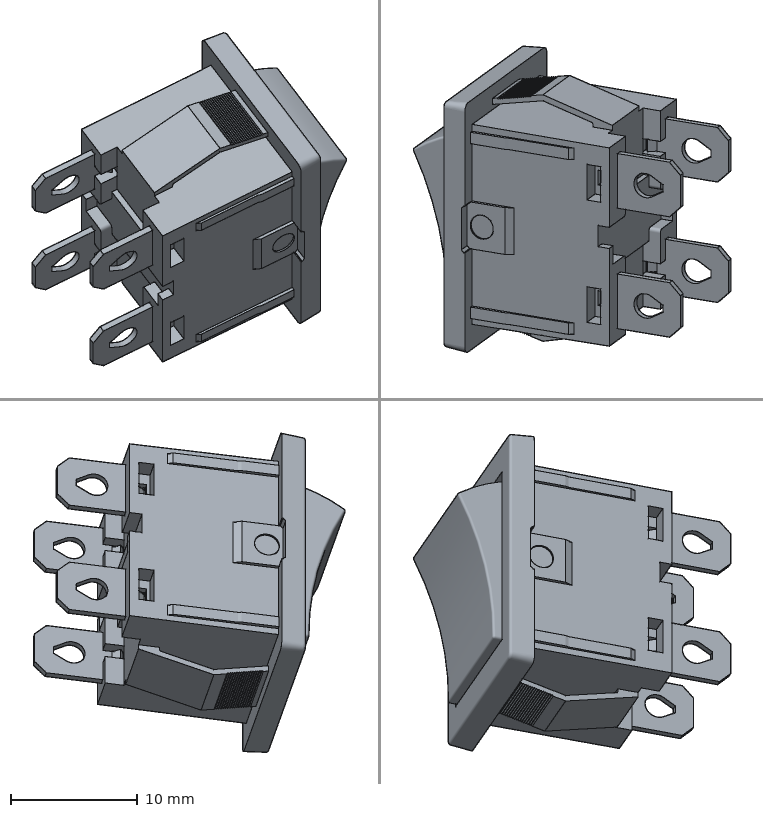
import cadquery as cq
import math


BEZEL_X = 15.0
BEZEL_Z = 21.0
BEZEL_DEPTH = 2.0
BEZEL_DRAFT = 5.0
BEZEL_CORNER_R = 0.6
BEZEL_EDGE_R = 0.24

BODY_X = 12.3
BODY_DEPTH = 12.0
BODY_Z_AT_BEZEL = 16.84
BODY_Z_AT_END = 16.7
POCKET_CLEARANCE = 0.1

RECESS_X = 6.36
RECESS_FLOOR = -10.5
RIDGE_Z = 5.54
RIDGE_TOP = -11.0
CHANNEL_HALF_Z = 1.66
PILLAR_TOP_Z = -0.12
PILLAR_GAP_X = 10.86
WING_CORNER_R = 0.3

RIB_X_FRONT = 6.42
RIB_X_REAR = 6.34
RIB_Z = 7.36
RIB_HEIGHT = 0.96
RIB_STEP_START = -3.0
RIB_STEP_END = -3.28
RIB_RAMP_START = -8.52
RIB_END = -8.93

PAD_X = RIB_X_FRONT
PAD_HEIGHT = 3.94
PAD_RAMP_START = -3.0
PAD_END = -3.64
NOTCH_DEPTH = 0.32
NOTCH_CHAMFER = 0.22

CLIP_X = 4.9
CLIP_OUTER_Z_AT_BEZEL = 9.37
CLIP_PEAK_Y = -4.42
CLIP_PEAK_Z = 10.38
CLIP_THICKNESS = 0.51
CLIP_END_Z = 8.77
CLIP_ROOT_Y = -8.8
CLIP_ROOT_R = 0.18
TOOTH_START = -0.43
TOOTH_COUNT = 16
TOOTH_PITCH = 0.184
TOOTH_DEPTH = 0.1

TERMINAL_PITCH_X = 8.76
TERMINAL_PITCH_Z = 10.14
TERMINAL_THICKNESS = 0.52
TERMINAL_WIDTH = 4.6
TERMINAL_TIP = -17.5
TERMINAL_ROOT = -8.5
TERMINAL_CHAMFER = 0.95
EYE_Y = -14.46
EYE_R = 1.02
EYE_POINT_Y = -15.97
EYE_FLANK_ANGLE = math.radians(30)

TAB_FRONT = -11.24
TAB_RUN = 0.59
TAB_LEAN = 0.44
TAB_HEIGHT = 1.08
LANCE_BACK = -10.3
LANCE_HEIGHT = 1.24
WINDOW_FLOOR = -10.03
WINDOW_END = -11.25
WINDOW_HEIGHT = 3.0
WINDOW_PITCH_Z = 10.3
SLOT_HEIGHT = 1.25
SLOT_FLOOR = -10.3

ROCKER_X = 10.72
ROCKER_TIP = (5.66, 5.13)
ROCKER_FACE_MID = (3.33, -1.33)
ROCKER_LOW = (2.69, -7.63)
ROCKER_TOP_MID = (3.9, 6.2)
ROCKER_TOP_AT_BEZEL = 6.96
ROCKER_BASE = -2.2
ROCKER_EDGE_R = 0.2
POCKET_FLOOR = -2.4

PIN_Y = -0.97
PIN_R = 1.0
PIN_RECESS = 0.15
PIN_ENGAGEMENT = 1.0

SIDES = (-1, 1)


def block(x_range, y_range, z_range):
    """Axis-aligned box between the given limits."""
    limits = (x_range, y_range, z_range)
    sizes = [high - low for low, high in limits]
    corner = cq.Vector(*[low for low, high in limits])
    return cq.Workplane(cq.Solid.makeBox(*sizes, pnt=corner))


def mirror_x(shape, side):
    """Copy made for +X, moved to the given side."""
    return shape if side > 0 else shape.mirror("YZ")


def mirror_z(shape, side):
    """Copy made for +Z, moved to the given side."""
    return shape if side > 0 else shape.mirror("XY")


def make_bezel():
    """Drafted rectangular flange with rounded corners and a soft front edge."""
    outline = cq.Sketch().rect(BEZEL_X, BEZEL_Z).vertices().fillet(BEZEL_CORNER_R)
    back_face = cq.Workplane("XZ").placeSketch(outline)
    bezel = back_face.extrude(-BEZEL_DEPTH, taper=BEZEL_DRAFT)
    return bezel.faces(">Y").edges().fillet(BEZEL_EDGE_R)


def make_body():
    """Box behind the bezel, slightly narrower in Z towards the terminal end."""
    front_z = BODY_Z_AT_BEZEL / 2
    end_z = BODY_Z_AT_END / 2
    profile = [(0, -front_z), (0, front_z), (-BODY_DEPTH, end_z), (-BODY_DEPTH, -end_z)]
    return cq.Workplane("YZ").polyline(profile).close().extrude(BODY_X / 2, both=True)


def cut_terminal_end(body):
    """Central recesses with a ridge between them, and the cross channel over the ridge."""
    end = -BODY_DEPTH
    recess_x = (-RECESS_X / 2, RECESS_X / 2)
    ridge_z = (-RIDGE_Z / 2, RIDGE_Z / 2)
    recess = block(recess_x, (end, RECESS_FLOOR), (-BODY_Z_AT_BEZEL, BODY_Z_AT_BEZEL))
    body = body.cut(recess.cut(block(recess_x, (RIDGE_TOP, RECESS_FLOOR), ridge_z)))

    channel_y = (end, RIDGE_TOP)
    channel = block((-BODY_X, BODY_X), channel_y, (PILLAR_TOP_Z, CHANNEL_HALF_Z))
    pillar_gap = (-PILLAR_GAP_X / 2, PILLAR_GAP_X / 2)
    between_pillars = block(pillar_gap, channel_y, (-CHANNEL_HALF_Z, PILLAR_TOP_Z))
    body = body.cut(channel).cut(between_pillars)

    reach = WING_CORNER_R
    for x in (-RECESS_X / 2, RECESS_X / 2):
        for z in (-CHANNEL_HALF_Z, CHANNEL_HALF_Z):
            low_corner = (x - reach, end, z - reach)
            high_corner = (x + reach, RIDGE_TOP, z + reach)
            near_corner = cq.selectors.BoxSelector(low_corner, high_corner)
            body = body.edges("|Y").edges(near_corner).fillet(WING_CORNER_R)
    return body


def make_rib():
    """Stepped guide rib on the +X wall, in its upper position."""
    profile = [
        (0, 0),
        (RIB_X_FRONT, 0),
        (RIB_X_FRONT, RIB_STEP_START),
        (RIB_X_REAR, RIB_STEP_END),
        (RIB_X_REAR, RIB_RAMP_START),
        (BODY_X / 2, RIB_END),
        (0, RIB_END),
    ]
    rib = cq.Workplane("XY").polyline(profile).close().extrude(RIB_HEIGHT / 2, both=True)
    return rib.translate((0, 0, RIB_Z))


def make_pad():
    """Pivot pad on the +X wall with a ramp at its rear end."""
    profile = [
        (0, NOTCH_DEPTH),
        (PAD_X, NOTCH_DEPTH),
        (PAD_X, PAD_RAMP_START),
        (BODY_X / 2, PAD_END),
        (0, PAD_END),
    ]
    return cq.Workplane("XY").polyline(profile).close().extrude(PAD_HEIGHT / 2, both=True)


def make_notch():
    """Notch in the back of the bezel beside the +X pad, with chamfered inner corners."""
    notch = block((PAD_X, BEZEL_X), (0, NOTCH_DEPTH), (-PAD_HEIGHT / 2, PAD_HEIGHT / 2))
    return notch.faces(">Y").edges("|X").chamfer(NOTCH_CHAMFER)


def make_clip():
    """Bent snap clip on the top wall, with fine grip teeth across its front slope."""
    wall_z = BODY_Z_AT_END / 2
    outline = [
        (0, CLIP_OUTER_Z_AT_BEZEL),
        (CLIP_PEAK_Y, CLIP_PEAK_Z),
        (RECESS_FLOOR, CLIP_END_Z),
        (RECESS_FLOOR, wall_z),
        (CLIP_ROOT_Y, wall_z),
    ]
    rear_slope = (CLIP_PEAK_Z - CLIP_END_Z) / (CLIP_PEAK_Y - RECESS_FLOOR)
    inner_root_z = CLIP_PEAK_Z - CLIP_THICKNESS - rear_slope * (CLIP_PEAK_Y - CLIP_ROOT_Y)
    outline += [
        (CLIP_ROOT_Y, inner_root_z),
        (CLIP_PEAK_Y, CLIP_PEAK_Z - CLIP_THICKNESS),
        (0, CLIP_OUTER_Z_AT_BEZEL - CLIP_THICKNESS),
    ]
    clip = cq.Workplane("YZ").polyline(outline).close().extrude(CLIP_X / 2, both=True)
    inner_root = (0, CLIP_ROOT_Y, inner_root_z)
    clip = clip.edges("|X").edges(cq.selectors.NearestToPointSelector(inner_root)).fillet(CLIP_ROOT_R)

    front_slope = (CLIP_PEAK_Z - CLIP_OUTER_Z_AT_BEZEL) / CLIP_PEAK_Y
    teeth = []
    for index in range(TOOTH_COUNT):
        start = TOOTH_START - index * TOOTH_PITCH
        end = start - TOOTH_PITCH
        start_z = CLIP_OUTER_Z_AT_BEZEL + front_slope * start
        end_z = CLIP_OUTER_Z_AT_BEZEL + front_slope * end
        middle = ((start + end) / 2, (start_z + end_z) / 2 - TOOTH_DEPTH)
        groove = cq.Workplane("YZ").polyline([(start, start_z), middle, (end, end_z)]).close()
        teeth.append(groove.extrude(CLIP_X / 2, both=True).val())
    return clip.cut(cq.Workplane(cq.Compound.makeCompound(teeth)))


def make_terminal_openings():
    """Blade pocket, side window and tab slot for the +X, +Z terminal."""
    blade_x = TERMINAL_PITCH_X / 2
    blade_inner = blade_x - TERMINAL_THICKNESS / 2
    blade_outer = blade_x + TERMINAL_THICKNESS / 2
    blade_z = TERMINAL_PITCH_Z / 2
    window_z = WINDOW_PITCH_Z / 2
    pocket = block(
        (blade_inner, blade_outer),
        (-BODY_DEPTH, TERMINAL_ROOT),
        (blade_z - TERMINAL_WIDTH / 2, blade_z + TERMINAL_WIDTH / 2),
    )
    window = block(
        (blade_outer, BODY_X),
        (WINDOW_END, WINDOW_FLOOR),
        (window_z - WINDOW_HEIGHT / 2, window_z + WINDOW_HEIGHT / 2),
    )
    slot = block(
        (RECESS_X / 2, blade_inner),
        (-BODY_DEPTH, SLOT_FLOOR),
        (window_z - SLOT_HEIGHT / 2, window_z + SLOT_HEIGHT / 2),
    )
    return pocket.union(window).union(slot)


def make_housing():
    """Bezel, body, ribs, pads and clips as one moulding with all its openings."""
    housing = cut_terminal_end(make_body()).union(make_bezel())
    for side in SIDES:
        housing = housing.cut(mirror_x(make_notch(), side))
        housing = housing.union(mirror_x(make_pad(), side))
        housing = housing.union(mirror_z(make_clip(), side))
        for level in SIDES:
            housing = housing.union(mirror_z(mirror_x(make_rib(), side), level))
            housing = housing.cut(mirror_z(mirror_x(make_terminal_openings(), side), level))

    pocket_x = ROCKER_X / 2 + POCKET_CLEARANCE
    pocket_z = -ROCKER_LOW[1] + POCKET_CLEARANCE
    rocker_pocket = block((-pocket_x, pocket_x), (POCKET_FLOOR, BEZEL_DEPTH), (-pocket_z, pocket_z))
    return housing.cut(rocker_pocket).cut(make_pin_bore())


def make_pin_bore():
    """Pivot bore running through both side walls."""
    return cq.Workplane("YZ").center(PIN_Y, 0).circle(PIN_R).extrude(BODY_X, both=True)


def make_rocker():
    """Rocker tipped to one side: concave face, curved upper end and blind pivot bores."""
    top_at_bezel = (BEZEL_DEPTH, ROCKER_TOP_AT_BEZEL)
    profile = (
        cq.Workplane("YZ")
        .moveTo(ROCKER_BASE, ROCKER_LOW[1])
        .lineTo(*ROCKER_LOW)
        .threePointArc(ROCKER_FACE_MID, ROCKER_TIP)
        .threePointArc(ROCKER_TOP_MID, top_at_bezel)
        .lineTo(ROCKER_BASE, ROCKER_TOP_AT_BEZEL)
        .close()
    )
    rocker = profile.extrude(ROCKER_X / 2, both=True)
    above_base = cq.selectors.BoxSelector(
        (-ROCKER_X, PIN_Y, -BEZEL_Z), (ROCKER_X, 2 * ROCKER_TIP[0], BEZEL_Z)
    )
    rocker = rocker.edges(above_base).fillet(ROCKER_EDGE_R)
    for side in SIDES:
        rocker = rocker.cut(make_pin(side))
    return rocker


def make_pin(side):
    """Pivot pin in one side wall, reaching into the rocker."""
    inner_x = ROCKER_X / 2 - PIN_ENGAGEMENT
    outer_x = PAD_X - PIN_RECESS
    pin = cq.Workplane("YZ", origin=(inner_x, PIN_Y, 0)).circle(PIN_R).extrude(outer_x - inner_x)
    return mirror_x(pin, side)


def make_terminal(side, level):
    """Blade terminal with chamfered tip, teardrop eye and a lanced retaining tab."""
    half_width = TERMINAL_WIDTH / 2
    shoulder_y = TERMINAL_TIP + TERMINAL_CHAMFER
    tip_half = half_width - TERMINAL_CHAMFER
    outline = [
        (TERMINAL_ROOT, -half_width),
        (TERMINAL_ROOT, half_width),
        (shoulder_y, half_width),
        (TERMINAL_TIP, tip_half),
        (TERMINAL_TIP, -tip_half),
        (shoulder_y, -half_width),
    ]
    blade = cq.Workplane("YZ").polyline(outline).close().extrude(TERMINAL_THICKNESS / 2, both=True)

    tangent_y = EYE_Y - EYE_R * math.sin(EYE_FLANK_ANGLE)
    tangent_z = EYE_R * math.cos(EYE_FLANK_ANGLE)
    point_half = tangent_z - (tangent_y - EYE_POINT_Y) * math.tan(EYE_FLANK_ANGLE)
    eye = (
        cq.Workplane("YZ")
        .moveTo(EYE_POINT_Y, -point_half)
        .lineTo(tangent_y, -tangent_z)
        .threePointArc((EYE_Y + EYE_R, 0), (tangent_y, tangent_z))
        .lineTo(EYE_POINT_Y, point_half)
        .close()
        .extrude(TERMINAL_THICKNESS, both=True)
    )

    half_thick = TERMINAL_THICKNESS / 2
    half_lance = LANCE_HEIGHT / 2
    lance = block((-half_thick, half_thick), (TAB_FRONT, LANCE_BACK), (-half_lance, half_lance))
    lean_angle = math.atan2(TAB_LEAN, TAB_RUN)
    tab_thickness = TERMINAL_THICKNESS * math.cos(lean_angle)
    inner_end = (-half_thick - TAB_LEAN, TAB_FRONT + TAB_RUN)
    outer_end = (
        inner_end[0] + tab_thickness * math.cos(lean_angle),
        inner_end[1] + tab_thickness * math.sin(lean_angle),
    )
    tab_profile = [(-half_thick, TAB_FRONT), inner_end, outer_end, (half_thick, TAB_FRONT)]
    tab = cq.Workplane("XY").polyline(tab_profile).close().extrude(TAB_HEIGHT / 2, both=True)
    terminal = blade.cut(eye).cut(lance).union(tab)

    in_place = terminal.translate((TERMINAL_PITCH_X / 2, 0, level * TERMINAL_PITCH_Z / 2))
    return mirror_x(in_place, side)


housing = make_housing().solids().val()
rocker = make_rocker().solids().val()
pivot_pins = [make_pin(side).val() for side in SIDES]
terminals = [make_terminal(side, level).solids().val() for side in SIDES for level in SIDES]

result = cq.Compound.makeCompound([housing, rocker, *pivot_pins, *terminals])